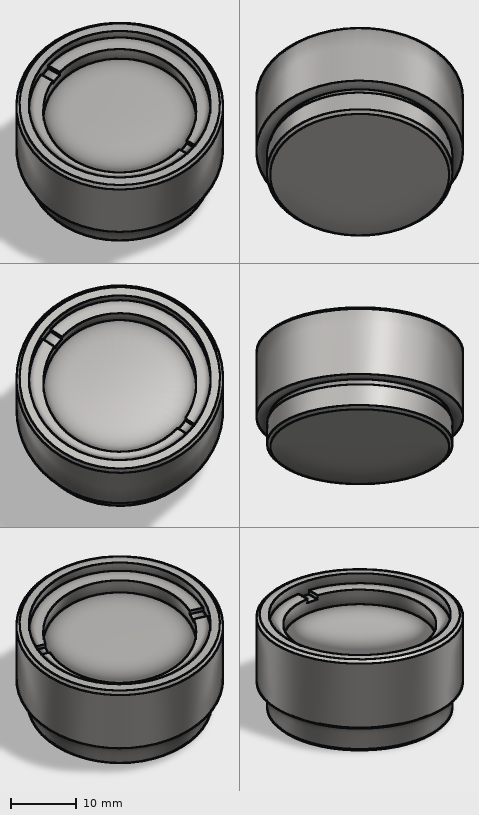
import cadquery as cq

head_diameter = 31.76
total_height = 16.5
head_height = 11.5
relief_height = 1.0
relief_diameter = 27.8
spigot_diameter = 28.5
edge_chamfer = 0.5

ring_diameter = 27.9
ring_recess = 1.7
ring_thickness = 2.5
ring_opening_diameter = 23.5
slot_width = 2.0
slot_depth = 0.7

lens_diameter = 25.0
dome_radius = 130.0

head_bottom = total_height - head_height
relief_bottom = head_bottom - relief_height
pocket_floor = head_bottom
ring_top = total_height - ring_recess
ring_bottom = ring_top - ring_thickness


def disc(diameter, bottom, top):
    """Cylinder on the Z axis between two heights."""
    return cq.Workplane("XY").workplane(offset=bottom).circle(diameter / 2).extrude(top - bottom)


def dome_height(radius):
    """Height of the lens dome at a distance from the axis; the ring's inner lower edge rests on it."""
    contact_radius = ring_opening_diameter / 2
    centre = ring_bottom - (dome_radius**2 - contact_radius**2) ** 0.5
    return centre + (dome_radius**2 - radius**2) ** 0.5


def make_housing():
    head = disc(head_diameter, head_bottom, total_height).faces(">Z").edges().chamfer(edge_chamfer)
    relief = disc(relief_diameter, relief_bottom, head_bottom)
    spigot = disc(spigot_diameter, 0, relief_bottom).faces("<Z").edges().chamfer(edge_chamfer)
    ring_bore = disc(ring_diameter, ring_bottom, total_height)
    lens_pocket = disc(lens_diameter, pocket_floor, ring_bottom)
    return head.union(relief).union(spigot).cut(ring_bore).cut(lens_pocket)


def make_retaining_ring():
    ring = disc(ring_diameter, ring_bottom, ring_top)
    opening = disc(ring_opening_diameter, ring_bottom, ring_top)
    slots = (
        cq.Workplane("XY")
        .workplane(offset=ring_top - slot_depth)
        .rect(ring_diameter, slot_width)
        .extrude(slot_depth)
    )
    return ring.cut(opening).cut(slots)


def make_lens():
    """Half section in the XZ plane, revolved about the Z axis."""
    rim = lens_diameter / 2
    return (
        cq.Workplane("XZ")
        .moveTo(0, pocket_floor)
        .lineTo(rim, pocket_floor)
        .lineTo(rim, dome_height(rim))
        .threePointArc((rim / 2, dome_height(rim / 2)), (0, dome_height(0)))
        .close()
        .revolve(360, (0, 0, 0), (0, 1, 0))
    )


housing = make_housing()
retaining_ring = make_retaining_ring()
lens = make_lens()

result = cq.Compound.makeCompound([housing.val(), retaining_ring.val(), lens.val()])